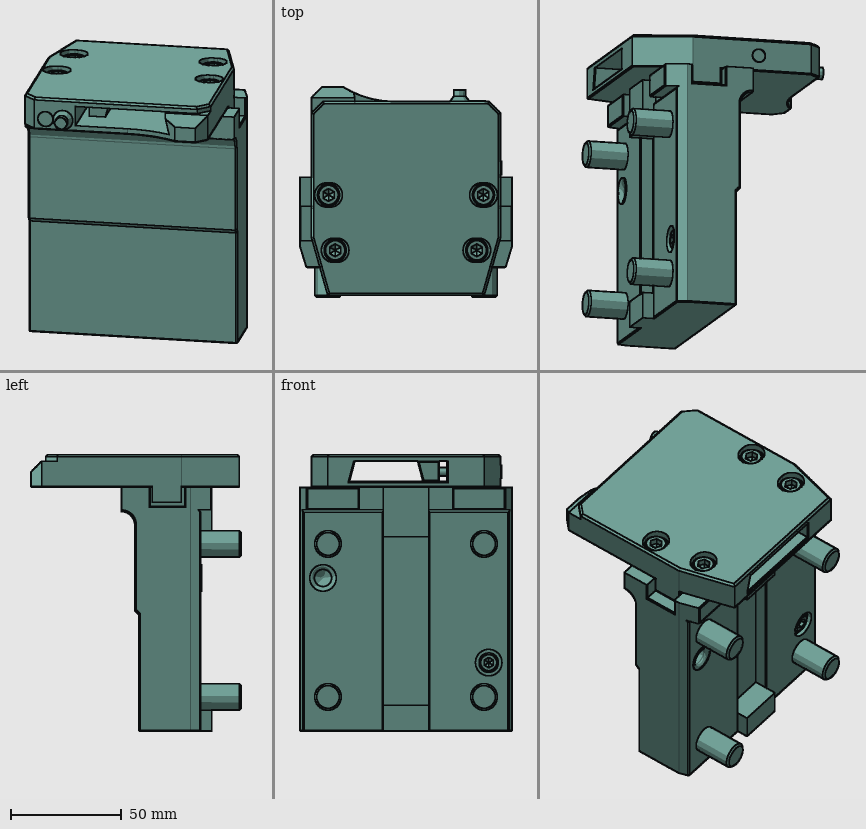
import cadquery as cq
import math


BASE_HALF_WIDTH = 48.0
BASE_TOP = 110.1
HEAD_BACK = 35.9
HEAD_BOTTOM = 99.2
HEAD_FILLET = 6.0
RAISED_BACK = HEAD_BACK - HEAD_FILLET
RAISED_BOTTOM = 54.5
LOWER_BACK = 28.0
FLANK_START = 4.8
TAB_FRONT = -5.0
TAB_FRONT_HALF_WIDTH = 45.0
TAB_INNER_X = 21.1
TAB_BOTTOM = 100.0
PAD_TOP_BEVEL = 1.1
EDGE_BEVEL = 0.5
BACK_BEVEL = 0.8
SMALL = 0.1

CHANNEL_HALF_WIDTH = 10.2
CHANNEL_DEPTH = 6.0
TOP_KEY_BOTTOM = 87.9
BOTTOM_KEY_TOP = 11.8

NOTCH_FRONT = 7.2
NOTCH_BACK = 22.9
NOTCH_BOTTOM = 101.6
NOTCH_INNER_X = 41.8
LUG_FRONT = 8.8
LUG_BACK = 21.9
LUG_BOTTOM = 103.4

PLATE_TOP = 125.0
PLATE_HALF_WIDTH = 42.8
PLATE_FRONT = -17.5
PLATE_FRONT_HALF_WIDTH = 35.4
PLATE_BACK = 70.1
CORNER_CUT = 5.2
PLATE_TOP_BEVEL = 1.0

HORN_TOP = 122.0
HORN_BACK = 76.8
HORN_BEVEL = 4.9
HORN_END_X = -28.5
HORN_CURVE_END_X = -5.4

SLOT_BOTTOM = 112.9
SLOT_LEFT_TOP = -23.1
SLOT_LEFT_BOTTOM = -25.5
SLOT_RIGHT = 18.5
JAW_LEFT_TOP = 5.2
JAW_LEFT_BOTTOM = 7.6
JAW_RIGHT = 15.1
JAW_LENGTH = 30.0
CLAMP_Y = 40.0
CLAMP_Z = 117.2
CLAMP_ROD_DIAMETER = 4.0
CLAMP_END_DIAMETER = 6.0
CLAMP_END_HEIGHT = 0.5

KNOB_X = 24.2
KNOB_Z = 115.2
KNOB_DIAMETER = 5.5
KNOB_BASE_DIAMETER = 9.0
KNOB_CONE_HEIGHT = 2.2
KNOB_HEIGHT = 5.2
DISC_X = 32.2
DISC_DIAMETER = 7.0
DISC_HEIGHT = 0.2

PLATE_SCREWS = [(35.0, 27.9), (32.0, 2.9)]
SCREW_BORE_WIDTH = 11.0
SCREW_BORE_LENGTH = 12.5
SCREW_BORE_DEPTH = 3.5
SCREW_HEAD = 10.0
SCREW_HEAD_BEVEL = 0.6
SCREW_HEAD_HEIGHT = 2.0
SOCKET_FLATS = 5.0
SOCKET_DEPTH = 3.0
TIP_SHARE = 0.97
SOCKET_TAPER = 60

PIN_DIAMETER = 12.0
PIN_X = 35.2
PIN_HEIGHTS = (15.5, 84.6)
PIN_LENGTH = 18.2
PIN_BEVEL = 0.9

NOZZLE_X = -37.5
NOZZLE_Z = 69.2
NOZZLE_DIAMETER = 12.0
NOZZLE_HEIGHT = 0.5
NOZZLE_BORE = 7.8
NOZZLE_BORE_DEPTH = 2.5
NOZZLE_CONE_DEPTH = 2.2
SET_SCREW_X = 37.4
SET_SCREW_Z = 31.0
SET_SCREW_BORE = 12.0
SET_SCREW_BORE_DEPTH = 2.2
SET_SCREW_DIAMETER = 8.8
SET_SCREW_HEIGHT = 1.5
SET_SCREW_BEVEL = 0.8
SET_SCREW_FLATS = 4.0


def block(x_min, x_max, y_min, y_max, z_min, z_max):
    """Axis-aligned box given by its limits."""
    size = (x_max - x_min, y_max - y_min, z_max - z_min)
    return cq.Workplane("XY").box(*size, centered=False).translate((x_min, y_min, z_min))


def front_plane(x, y, z):
    """Workplane facing -Y, with its origin at the given point."""
    return cq.Workplane(cq.Plane(origin=(x, y, z), xDir=(1, 0, 0), normal=(0, -1, 0)))


def back_plane(x, y, z):
    """Workplane facing +Y, with its origin at the given point."""
    return cq.Workplane(cq.Plane(origin=(x, y, z), xDir=(-1, 0, 0), normal=(0, 1, 0)))


def hexagon(workplane, across_flats):
    """Hexagon given by its width across flats, with two corners on the local Y axis."""
    return workplane.transformed(rotate=(0, 0, 90)).polygon(6, across_flats / math.cos(math.pi / 6))


def edges_within(body, x_limits, y_limits, z_limits):
    """Edges whose centres lie inside the given limits."""
    low, high = zip(x_limits, y_limits, z_limits)
    return body.edges(cq.selectors.BoxSelector(low, high))


def make_base_core():
    """Body behind the pads: stepped side profile with bevelled back edges."""
    arc_offset = HEAD_FILLET * math.sqrt(0.5)
    core = (
        cq.Workplane("YZ")
        .moveTo(PAD_TOP_BEVEL, 0)
        .lineTo(PAD_TOP_BEVEL, BASE_TOP)
        .lineTo(HEAD_BACK, BASE_TOP)
        .lineTo(HEAD_BACK, HEAD_BOTTOM)
        .threePointArc(
            (HEAD_BACK - arc_offset, HEAD_BOTTOM - HEAD_FILLET + arc_offset),
            (RAISED_BACK, HEAD_BOTTOM - HEAD_FILLET),
        )
        .lineTo(RAISED_BACK, RAISED_BOTTOM)
        .lineTo(LOWER_BACK, RAISED_BOTTOM - (RAISED_BACK - LOWER_BACK))
        .lineTo(LOWER_BACK, EDGE_BEVEL)
        .lineTo(LOWER_BACK - EDGE_BEVEL, 0)
        .close()
        .extrude(BASE_HALF_WIDTH, both=True)
    )
    back = (LOWER_BACK - SMALL, HEAD_BACK - SMALL)
    for flank in (-BASE_HALF_WIDTH, BASE_HALF_WIDTH):
        flank_zone = (flank - SMALL, flank + SMALL)
        core = edges_within(core, flank_zone, back, (SMALL, HEAD_BOTTOM)).chamfer(BACK_BEVEL)
    return core


def make_base():
    """Base with pads, tabs, lug notches and the keyed front channel."""
    outline = (
        cq.Workplane("XY")
        .polyline([
            (-BASE_HALF_WIDTH, HEAD_BACK),
            (-BASE_HALF_WIDTH, FLANK_START),
            (-TAB_FRONT_HALF_WIDTH, TAB_FRONT),
            (TAB_FRONT_HALF_WIDTH, TAB_FRONT),
            (BASE_HALF_WIDTH, FLANK_START),
            (BASE_HALF_WIDTH, HEAD_BACK),
        ])
        .close()
        .extrude(BASE_TOP)
        .faces("<Z")
        .edges()
        .chamfer(EDGE_BEVEL)
    )
    channel = (-CHANNEL_HALF_WIDTH, CHANNEL_HALF_WIDTH, TAB_FRONT, CHANNEL_DEPTH)
    base = make_base_core().intersect(outline).cut(block(*channel, 0, BASE_TOP))

    pad = block(CHANNEL_HALF_WIDTH, BASE_HALF_WIDTH, 0, CHANNEL_DEPTH, 0, TAB_BOTTOM).intersect(outline)
    pad = pad.faces("<Y").edges(">Z").chamfer(PAD_TOP_BEVEL)
    pad = pad.faces("<Y").edges("not >Z").chamfer(EDGE_BEVEL)
    tab = block(TAB_INNER_X, BASE_HALF_WIDTH, TAB_FRONT, CHANNEL_DEPTH, TAB_BOTTOM, BASE_TOP)
    tab = tab.intersect(outline).faces("<Y").edges().chamfer(EDGE_BEVEL)
    for front_part in (pad, tab):
        base = base.union(front_part).union(front_part.mirror("YZ"))

    notch = block(NOTCH_INNER_X, BASE_HALF_WIDTH, NOTCH_FRONT, NOTCH_BACK, NOTCH_BOTTOM, BASE_TOP)
    base = base.cut(notch).cut(notch.mirror("YZ"))
    notch_y = (NOTCH_FRONT - SMALL, NOTCH_BACK + SMALL)
    notch_z = (NOTCH_BOTTOM - SMALL, BASE_TOP - SMALL)
    for flank in (-BASE_HALF_WIDTH, BASE_HALF_WIDTH):
        base = edges_within(base, (flank - SMALL, flank + SMALL), notch_y, notch_z).chamfer(EDGE_BEVEL)

    base = base.union(block(*channel, 0, BOTTOM_KEY_TOP))
    return base.union(block(*channel, TOP_KEY_BOTTOM, BASE_TOP))


def make_horn():
    """Corner extension with bevelled edges and a concave arc running back into the plate."""
    drop = HORN_BACK - PLATE_BACK
    run = HORN_CURVE_END_X - HORN_END_X
    radius = (run**2 + drop**2) / (2 * drop)
    corner = HORN_BACK - HORN_BEVEL
    root = PLATE_BACK - 2 * CORNER_CUT
    horn = (
        cq.Workplane("XY")
        .workplane(offset=BASE_TOP)
        .moveTo(-PLATE_HALF_WIDTH, root)
        .lineTo(-PLATE_HALF_WIDTH, corner)
        .lineTo(-PLATE_HALF_WIDTH + HORN_BEVEL, HORN_BACK)
        .lineTo(HORN_END_X, HORN_BACK)
        .radiusArc((HORN_CURVE_END_X, PLATE_BACK), -radius)
        .lineTo(HORN_CURVE_END_X, root)
        .close()
        .extrude(HORN_TOP - BASE_TOP)
    )
    bevel = (
        cq.Workplane("YZ")
        .polyline([(corner, HORN_TOP), (HORN_BACK, HORN_TOP), (HORN_BACK, HORN_TOP - HORN_BEVEL)])
        .close()
        .extrude(PLATE_HALF_WIDTH, both=True)
    )
    return horn.cut(bevel)


def make_plate():
    """Top plate with its horn, cut front to back by the dovetail slot."""
    plate = (
        cq.Workplane("XY")
        .workplane(offset=BASE_TOP)
        .polyline([
            (-PLATE_FRONT_HALF_WIDTH, PLATE_FRONT),
            (PLATE_FRONT_HALF_WIDTH, PLATE_FRONT),
            (PLATE_HALF_WIDTH, LUG_FRONT),
            (PLATE_HALF_WIDTH, PLATE_BACK - CORNER_CUT),
            (PLATE_HALF_WIDTH - CORNER_CUT, PLATE_BACK),
            (-PLATE_HALF_WIDTH + CORNER_CUT, PLATE_BACK),
            (-PLATE_HALF_WIDTH, PLATE_BACK - CORNER_CUT),
            (-PLATE_HALF_WIDTH, LUG_FRONT),
        ])
        .close()
        .extrude(PLATE_TOP - BASE_TOP)
        .faces(">Z")
        .edges()
        .chamfer(PLATE_TOP_BEVEL)
    )
    plate = plate.union(make_horn())
    slot = (
        front_plane(0, PLATE_FRONT, 0)
        .polyline([
            (SLOT_LEFT_BOTTOM, SLOT_BOTTOM),
            (SLOT_RIGHT, SLOT_BOTTOM),
            (SLOT_RIGHT, HORN_TOP),
            (SLOT_LEFT_TOP, HORN_TOP),
        ])
        .close()
        .extrude(PLATE_FRONT - HORN_BACK)
    )
    plate = plate.cut(slot).faces("<Z").edges().chamfer(EDGE_BEVEL)
    slot_width = (SLOT_LEFT_BOTTOM - SMALL, SLOT_RIGHT + SMALL)
    slot_mouth = (PLATE_FRONT - SMALL, PLATE_FRONT + SMALL)
    below_slot_top = (SLOT_BOTTOM - SMALL, HORN_TOP - SMALL)
    return edges_within(plate, slot_width, slot_mouth, below_slot_top).chamfer(EDGE_BEVEL)


def make_clamp():
    """Jaw in the slot, the rod that holds it and the rod's end on the plate's right side."""
    jaw = (
        front_plane(0, CLAMP_Y, 0)
        .polyline([
            (JAW_LEFT_BOTTOM, SLOT_BOTTOM),
            (JAW_RIGHT, SLOT_BOTTOM),
            (JAW_RIGHT, HORN_TOP),
            (JAW_LEFT_TOP, HORN_TOP),
        ])
        .close()
        .extrude(JAW_LENGTH / 2, both=True)
        .faces("<Y")
        .edges()
        .chamfer(EDGE_BEVEL)
    )
    axis = cq.Workplane("YZ").center(CLAMP_Y, CLAMP_Z)
    rod = axis.workplane(offset=JAW_RIGHT).circle(CLAMP_ROD_DIAMETER / 2).extrude(SLOT_RIGHT - JAW_RIGHT)
    end = axis.workplane(offset=PLATE_HALF_WIDTH).circle(CLAMP_END_DIAMETER / 2).extrude(CLAMP_END_HEIGHT)
    return jaw.union(rod).union(end)


def make_lugs():
    """Blocks under the plate that sit in the base notches."""
    lugs = block(-PLATE_HALF_WIDTH, -NOTCH_INNER_X, LUG_FRONT, LUG_BACK, LUG_BOTTOM, SLOT_BOTTOM)
    return lugs.union(lugs.mirror("YZ"))


def make_knob():
    """Knob on a cone, and the thin disc beside it."""
    base_radius = KNOB_BASE_DIAMETER / 2
    radius = KNOB_DIAMETER / 2
    profile = [(0, 0), (base_radius, 0), (radius, KNOB_CONE_HEIGHT), (radius, KNOB_HEIGHT), (0, KNOB_HEIGHT)]
    knob = (
        cq.Workplane("XY")
        .polyline(profile)
        .close()
        .revolve(360, (0, 0), (0, 1))
        .translate((KNOB_X, PLATE_BACK, KNOB_Z))
    )
    disc = back_plane(DISC_X, PLATE_BACK, KNOB_Z).circle(DISC_DIAMETER / 2).extrude(DISC_HEIGHT)
    return knob.union(disc)


def make_socket(workplane, across_flats, depth):
    """Hexagon socket below the workplane, ending in a flat six-sided tip."""
    tip_height = TIP_SHARE * across_flats / 2 / math.tan(math.radians(SOCKET_TAPER))
    socket = hexagon(workplane, across_flats).extrude(-depth)
    tip = hexagon(workplane.workplane(offset=-depth), across_flats).extrude(-tip_height, taper=SOCKET_TAPER)
    return socket.union(tip)


def cut_plate_screw(body, x, y):
    """Oblong counterbore with a socket head inside."""
    floor = cq.Workplane("XY", origin=(x, y, PLATE_TOP - SCREW_BORE_DEPTH))
    bore = floor.slot2D(SCREW_BORE_LENGTH, SCREW_BORE_WIDTH).extrude(SCREW_BORE_DEPTH)
    head = floor.circle(SCREW_HEAD / 2).extrude(SCREW_HEAD_HEIGHT)
    head = head.faces(">Z").edges().chamfer(SCREW_HEAD_BEVEL)
    socket = make_socket(floor.workplane(offset=SCREW_HEAD_HEIGHT), SOCKET_FLATS, SOCKET_DEPTH)
    return body.cut(bore).union(head).cut(socket)


def make_pin(x, z):
    """Round pin standing out of the front, with a bevelled end."""
    pin = front_plane(x, 0, z).circle(PIN_DIAMETER / 2).extrude(PIN_LENGTH)
    return pin.faces("<Y").edges().chamfer(PIN_BEVEL)


def add_nozzle(body):
    """Low ring with a rounded mouth around a hole that ends in a cone."""
    plane = front_plane(NOZZLE_X, 0, NOZZLE_Z)
    ring = plane.circle(NOZZLE_DIAMETER / 2).extrude(NOZZLE_HEIGHT)
    bore_radius = NOZZLE_BORE / 2
    mouth_radius = (NOZZLE_DIAMETER - NOZZLE_BORE) / 2
    mouth_centre_y = mouth_radius - NOZZLE_HEIGHT
    bore_end = mouth_centre_y + NOZZLE_BORE_DEPTH
    diagonal = mouth_radius * math.sqrt(0.5)
    hole = (
        cq.Workplane("XY")
        .moveTo(0, -NOZZLE_HEIGHT)
        .lineTo(NOZZLE_DIAMETER / 2, -NOZZLE_HEIGHT)
        .threePointArc(
            (NOZZLE_DIAMETER / 2 - diagonal, mouth_centre_y - diagonal),
            (bore_radius, mouth_centre_y),
        )
        .lineTo(bore_radius, bore_end)
        .lineTo(0, bore_end + NOZZLE_CONE_DEPTH)
        .close()
        .revolve(360, (0, 0), (0, 1))
        .translate((NOZZLE_X, 0, NOZZLE_Z))
    )
    return body.union(ring).cut(hole)


def cut_set_screw(body):
    """Counterbore with a bevelled set screw inside."""
    floor = front_plane(SET_SCREW_X, SET_SCREW_BORE_DEPTH, SET_SCREW_Z)
    bore = floor.circle(SET_SCREW_BORE / 2).extrude(SET_SCREW_BORE_DEPTH)
    screw = floor.circle(SET_SCREW_DIAMETER / 2).extrude(SET_SCREW_HEIGHT)
    screw = screw.faces("<Y").edges().chamfer(SET_SCREW_BEVEL)
    socket = make_socket(floor.workplane(offset=SET_SCREW_HEIGHT), SET_SCREW_FLATS, SOCKET_DEPTH)
    return body.cut(bore).union(screw).cut(socket)


result = make_base().union(make_plate()).union(make_clamp()).union(make_lugs()).union(make_knob())
for side in (-1, 1):
    for screw_x, screw_y in PLATE_SCREWS:
        result = cut_plate_screw(result, side * screw_x, screw_y)
    for pin_z in PIN_HEIGHTS:
        result = result.union(make_pin(side * PIN_X, pin_z))
result = cut_set_screw(add_nozzle(result))